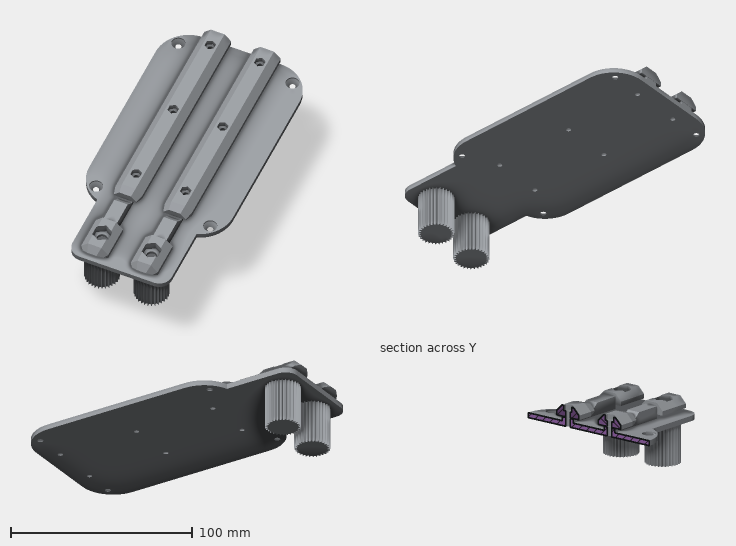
import cadquery as cq
import math

overall_length = 170.0
plate_thickness = 3.0
plate_width = 87.0
wide_length = 130.0
wide_corner_radius = 20.0
tongue_width = 60.0
tongue_corner_radius = 7.5
back_y = overall_length / 2
front_y = -overall_length / 2
wide_front_y = back_y - wide_length

mount_x = 34.5
mount_edge_distance = 9.5
mount_rim_diameter = 7.8
mount_rim_depth = 0.8
mount_cone_slope = math.radians(45.0)
mount_cone_height = plate_thickness - mount_rim_depth
mount_hole_diameter = mount_rim_diameter - 2 * mount_cone_height / math.tan(mount_cone_slope)

line_x = 15.0
line_places = (-line_x, line_x)
spine_width = 8.2
spine_height = 2.2
bar_clearance = 0.2
hump_height = 7.1
ramp_length = 5.5

bar_width = 16.3
bar_height = 6.6
bar_chamfer = 4.0
bar_base_z = plate_thickness + spine_height + bar_clearance
bar_top_z = bar_base_z + bar_height

rail_full_length = 120.0
rail_nose_length = 5.1
rail_nose_angle = 15.0
rail_front_y = back_y - rail_full_length - rail_nose_length

screw_diameter = 2.9
screw_pitch = 50.0
screw_count = 3
first_screw_y = back_y - 10.0
rail_nut_diameter = 6.5
rail_nut_depth = 3.0

head_full_length = 20.0
head_back_y = back_y - 146.0
head_nose_length = 4.0
head_nose_angle = 41.0
head_hole_y = head_back_y - head_full_length / 2
head_hole_diameter = 6.0
head_nut_diameter = 11.2
head_nut_depth = 5.0

knob_height = 25.0
knob_tip_radius = 10.0
tooth_count = 30
tooth_height = 1.5
tooth_width = 1.0
tooth_phase = 5.8
knob_root_radius = knob_tip_radius - tooth_height


def box_between(x_range, y_range, z_range):
    """Box that fills the given ranges along X, Y and Z."""
    size = [high - low for low, high in (x_range, y_range, z_range)]
    corner = (x_range[0], y_range[0], z_range[0])
    return cq.Workplane("XY").box(*size, centered=False).translate(corner)


def screw_row(x):
    """Rail screw positions in X and Y along the line at x."""
    return [(x, first_screw_y - i * screw_pitch) for i in range(screw_count)]


def make_spine(x):
    """Low ridge under one rail that ramps up to a hump behind the clamp head."""
    low_z = plate_thickness + spine_height
    hump_z = plate_thickness + hump_height
    return (
        cq.Workplane("YZ")
        .moveTo(back_y, plate_thickness)
        .lineTo(back_y, low_z)
        .lineTo(rail_front_y, low_z)
        .lineTo(rail_front_y - ramp_length, hump_z)
        .lineTo(head_back_y, hump_z)
        .lineTo(head_back_y, plate_thickness)
        .close()
        .extrude(spine_width / 2, both=True)
        .translate((x, 0, 0))
    )


def make_mount_hole():
    """Space taken by one mounting hole, centred on the Z axis."""
    return (
        cq.Workplane("XZ")
        .lineTo(mount_hole_diameter / 2, 0)
        .lineTo(mount_rim_diameter / 2, mount_cone_height)
        .lineTo(mount_rim_diameter / 2, plate_thickness)
        .lineTo(0, plate_thickness)
        .close()
        .revolve(360, (0, 0, 0), (0, 1, 0))
    )


def make_plate():
    """Base plate with both spines and all of its screw holes."""
    wide_part = box_between(
        (-plate_width / 2, plate_width / 2), (wide_front_y, back_y), (0, plate_thickness)
    )
    wide_part = wide_part.edges("|Z").fillet(wide_corner_radius)
    tongue = box_between((-tongue_width / 2, tongue_width / 2), (front_y, 0), (0, plate_thickness))
    tongue = tongue.edges("|Z and <Y").fillet(tongue_corner_radius)
    plate = wide_part.union(tongue)

    mount_points = [
        (x, y)
        for x in (-mount_x, mount_x)
        for y in (wide_front_y + mount_edge_distance, back_y - mount_edge_distance)
    ]
    for x, y in mount_points:
        plate = plate.cut(make_mount_hole().translate((x, y, 0)))
    for x in line_places:
        screws = cq.Workplane("XY").pushPoints(screw_row(x)).circle(screw_diameter / 2).extrude(bar_top_z)
        plate = plate.union(make_spine(x)).cut(screws)
    return plate


def bar_outline():
    """Corners of the bar section in X and Z, counterclockwise from the lower left."""
    half = bar_width / 2
    shoulder_z = bar_top_z - bar_chamfer
    return [
        (-half, bar_base_z),
        (half, bar_base_z),
        (half, shoulder_z),
        (half - bar_chamfer, bar_top_z),
        (-half + bar_chamfer, bar_top_z),
        (-half, shoulder_z),
    ]


def make_bar(start_y, full_length, nose_length, nose_angle):
    """Bar along -Y whose long sides all lean inward by nose_angle over its nose."""
    outline = bar_outline()
    nose_y = start_y - full_length
    bar = (
        cq.Workplane("XZ", origin=(0, start_y, 0))
        .polyline(outline)
        .close()
        .extrude(full_length + nose_length)
    )
    lean = math.radians(nose_angle)
    cutter_size = 4 * bar_width
    for (x1, z1), (x2, z2) in zip(outline, outline[1:] + outline[:1]):
        side = cq.Vector(x2 - x1, 0, z2 - z1).normalized()
        outward = cq.Vector(side.z, 0, -side.x)
        normal = outward * math.cos(lean) + cq.Vector(0, -math.sin(lean), 0)
        nose_plane = cq.Plane(origin=((x1 + x2) / 2, nose_y, (z1 + z2) / 2), xDir=side, normal=normal)
        bar = bar.cut(cq.Workplane(nose_plane).rect(cutter_size, cutter_size).extrude(bar_width))
    return bar


def cut_nut_seats(bar, points, hole_diameter, nut_diameter, nut_depth):
    """Cut through holes, each under a hexagonal pocket with two corners along Y."""
    holes = (
        cq.Workplane("XY", origin=(0, 0, bar_base_z))
        .pushPoints(points)
        .circle(hole_diameter / 2)
        .extrude(bar_height)
    )
    turned = cq.Plane(origin=(0, 0, bar_top_z), xDir=(0, 1, 0), normal=(0, 0, 1))
    pockets = (
        cq.Workplane(turned)
        .pushPoints([(y, -x) for x, y in points])
        .polygon(6, nut_diameter)
        .extrude(-nut_depth)
    )
    return bar.cut(holes).cut(pockets)


def make_rail(x):
    """Rail on one spine, held by a row of screws."""
    rail = make_bar(back_y, rail_full_length, rail_nose_length, rail_nose_angle)
    rail = cut_nut_seats(rail, screw_row(0), screw_diameter, rail_nut_diameter, rail_nut_depth)
    return rail.translate((x, 0, 0))


def make_clamp_head(x):
    """Clamp head against the front of the hump, with a wedge-shaped nose."""
    head = make_bar(head_back_y, head_full_length, head_nose_length, head_nose_angle)
    head = cut_nut_seats(head, [(0, head_hole_y)], head_hole_diameter, head_nut_diameter, head_nut_depth)
    return head.translate((x, 0, 0))


def make_knob(x):
    """Round knob with pointed grip teeth, hanging from the plate underside."""
    half_tooth = math.asin(tooth_width / 2 / knob_root_radius)
    pitch = 2 * math.pi / tooth_count

    def at(radius, angle):
        return (radius * math.cos(angle), radius * math.sin(angle))

    phase = math.radians(tooth_phase)
    outline = cq.Workplane("XY").moveTo(*at(knob_root_radius, phase - half_tooth))
    for i in range(tooth_count):
        tip = phase + i * pitch
        outline = (
            outline.lineTo(*at(knob_tip_radius, tip))
            .lineTo(*at(knob_root_radius, tip + half_tooth))
            .threePointArc(
                at(knob_root_radius, tip + pitch / 2),
                at(knob_root_radius, tip + pitch - half_tooth),
            )
        )
    return outline.close().extrude(-knob_height).translate((x, head_hole_y, 0))


plate = make_plate()
rails = [make_rail(x) for x in line_places]
clamp_heads = [make_clamp_head(x) for x in line_places]
knobs = [make_knob(x) for x in line_places]

result = cq.Compound.makeCompound(
    [plate.val()] + [body.val() for body in rails + clamp_heads + knobs]
)